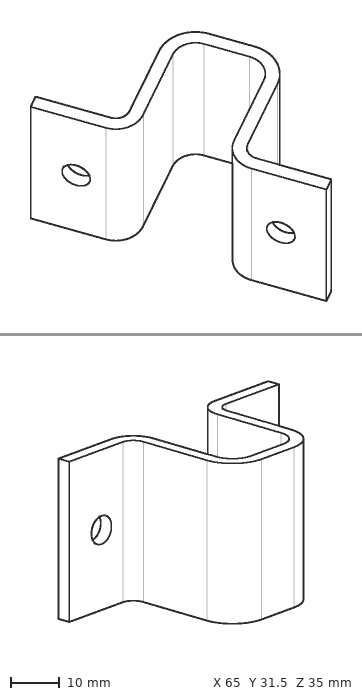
import cadquery as cq

length = 65.0
depth = 31.5
height = 35.0
thickness = 3.0

channel_width = 20.0
crown_inner_radius = 5.0
crown_outer_radius = crown_inner_radius + thickness
foot_inner_radius = 3.0
foot_outer_radius = foot_inner_radius + thickness

hole_diameter = 6.2
hole_spacing = 45.0

flange_end = length / 2
leg_inner = channel_width / 2
leg_outer = leg_inner + thickness
crown_inner = depth - thickness


def half_strip():
    """Right half of the strip, from the middle of the crown to the flange end."""
    return (
        cq.Workplane("XY")
        .moveTo(0, depth)
        .lineTo(leg_outer - crown_outer_radius, depth)
        .tangentArcPoint((leg_outer, depth - crown_outer_radius), relative=False)
        .lineTo(leg_outer, thickness + foot_inner_radius)
        .tangentArcPoint((leg_outer + foot_inner_radius, thickness), relative=False)
        .lineTo(flange_end, thickness)
        .lineTo(flange_end, 0)
        .lineTo(leg_inner + foot_outer_radius, 0)
        .tangentArcPoint((leg_inner, foot_outer_radius), relative=False)
        .lineTo(leg_inner, crown_inner - crown_inner_radius)
        .tangentArcPoint((leg_inner - crown_inner_radius, crown_inner), relative=False)
        .lineTo(0, crown_inner)
        .close()
        .extrude(height)
    )


def mounting_holes():
    """One round cutter through each flange, at mid height."""
    return (
        cq.Workplane("XZ")
        .pushPoints([(side * hole_spacing / 2, height / 2) for side in (-1, 1)])
        .circle(hole_diameter / 2)
        .extrude(-thickness)
    )


right_half = half_strip()
strip = right_half.union(right_half.mirror("YZ")).clean()
result = strip.cut(mounting_holes())